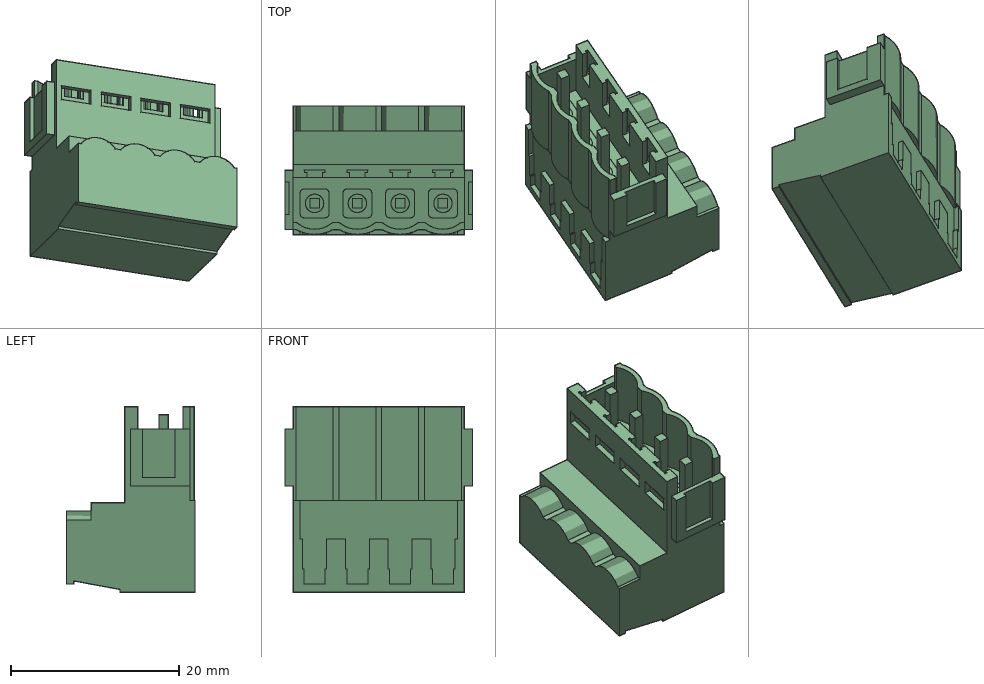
import cadquery as cq

POLES = 4
PITCH = 5.08
BODY_WIDTH = POLES * PITCH
OVERALL_WIDTH = 22.28
DEPTH = 15.3
HEIGHT = 22.05
HALF_WIDTH = BODY_WIDTH / 2
POLE_X = [(i - (POLES - 1) / 2) * PITCH for i in range(POLES)]

TOWER_REAR_Y = 8.38
TOWER_FOOT_Z = 10.65
SHOULDER_Y = 12.35
VALLEY_Z = 8.58
BASE_REAR_Y = 8.95
BASE_STEP = 0.33
RAMP_END_Y = 14.42
RAMP_END_Z = 1.34
REAR_LIP_Z = 0.98

ARC_CHORD = 4.4
RIDGE_RISE = 1.1
RIDGE_ROOT_Z = VALLEY_Z / 2

SCALLOP_FOOT_Z = 10.92
SCALLOP_FLAT_Y = 0.62
SCALLOP_RISE = 0.55
INNER_FLAT_Y = 1.47
INNER_CHORD = 4.28
INNER_RISE = 0.8
REAR_WALL_Y = 6.8
FLOOR_Z = 13.65

PLATE_THICKNESS = (OVERALL_WIDTH - BODY_WIDTH) / 2
PLATE_REAR_Y = 7.69
PLATE_BOTTOM_Z = 12.6
PLATE_TOP_Z = 19.4
PLATE_POCKET_FRONT_Y = 2.4
PLATE_POCKET_REAR_Y = 6.25
PLATE_POCKET_DEPTH = 0.5

SLOT_NECK_WIDTH = 1.83
SLOT_WIDTH = 2.43
SLOT_SHELF_Y = 7.42
SLOT_BACK_Y = 7.69
SLOT_FLOOR_Z = 17.82
WINDOW_WIDTH = 3.79
WINDOW_BOTTOM_Z = 17.02
WINDOW_TOP_Z = 18.8

RECESS_DEPTH = 0.6
RECESS_WIDTH = 18.7
RIB_WIDTH = 2.25
RECESS_UPPER_Z = 6.35
RECESS_LOWER_Z = 2.76
RECESS_FLOOR_Z = 0.98
UPPER_POCKET_WIDTH = PITCH - RIB_WIDTH
LOWER_POCKET_WIDTH = 2.5

CONTACT_Y = 3.75
PIN_SIDE = 1.11
PIN_TOP_Z = 21.1
ROOT_DIAMETER = 2.18
INSERT_SIDE = 3.43
INSERT_RADIUS = 0.5
INSERT_DEPTH = 2.0


def block(x_min, x_max, y_min, y_max, z_min, z_max):
    """Axis-aligned box between the given limits."""
    size = (x_max - x_min, y_max - y_min, z_max - z_min)
    return cq.Workplane("XY").box(*size, centered=False).translate((x_min, y_min, z_min))


def centred_block(x, width, y_min, y_max, z_min, z_max):
    """Box of a given width centred on x."""
    return block(x - width / 2, x + width / 2, y_min, y_max, z_min, z_max)


def scallop_outline(plane, base, flat, chord, rise):
    """Closed outline with one arc per pole, from a straight side at base to flats between the arcs."""
    outline = cq.Workplane(plane).moveTo(-HALF_WIDTH, base).lineTo(-HALF_WIDTH, flat)
    for x in POLE_X:
        outline = outline.lineTo(x - chord / 2, flat)
        outline = outline.threePointArc((x, flat + rise), (x + chord / 2, flat))
    return outline.lineTo(HALF_WIDTH, flat).lineTo(HALF_WIDTH, base).close()


def make_body_block():
    """Side profile extruded across all poles."""
    profile = [
        (0, 0),
        (BASE_REAR_Y, 0),
        (BASE_REAR_Y, BASE_STEP),
        (RAMP_END_Y, RAMP_END_Z),
        (RAMP_END_Y, REAR_LIP_Z),
        (DEPTH, REAR_LIP_Z),
        (DEPTH, VALLEY_Z),
        (SHOULDER_Y, VALLEY_Z),
        (SHOULDER_Y, TOWER_FOOT_Z),
        (TOWER_REAR_Y, TOWER_FOOT_Z),
        (TOWER_REAR_Y, SCALLOP_FOOT_Z),
        (0, SCALLOP_FOOT_Z),
    ]
    return cq.Workplane("YZ").polyline(profile).close().extrude(HALF_WIDTH, both=True)


def make_rear_ridges():
    """Row of rounded ridges along the rear ledge, rooted inside the body block."""
    outline = scallop_outline("XZ", RIDGE_ROOT_Z, VALLEY_Z, ARC_CHORD, RIDGE_RISE)
    return outline.extrude(SHOULDER_Y - DEPTH).translate((0, SHOULDER_Y, 0))


def make_tower():
    """Upper block with a scalloped front face."""
    outline = scallop_outline("XY", TOWER_REAR_Y, SCALLOP_FLAT_Y, ARC_CHORD, -SCALLOP_RISE)
    return outline.extrude(HEIGHT - SCALLOP_FOOT_Z).translate((0, 0, SCALLOP_FOOT_Z))


def make_cavity():
    """Mating cavity that runs the full width and follows the scalloped front wall."""
    outline = scallop_outline("XY", REAR_WALL_Y, INNER_FLAT_Y, INNER_CHORD, -INNER_RISE)
    return outline.extrude(HEIGHT - FLOOR_Z).translate((0, 0, FLOOR_Z))


def make_end_plate(side):
    """End plate on one side (-1 or 1), with a pocket open at the top of its outer face."""
    outer_x = side * OVERALL_WIDTH / 2
    inner_x = outer_x - side * PLATE_THICKNESS
    pocket_x = outer_x - side * PLATE_POCKET_DEPTH
    plate = block(
        min(outer_x, inner_x), max(outer_x, inner_x),
        SCALLOP_FLAT_Y, PLATE_REAR_Y, PLATE_BOTTOM_Z, PLATE_TOP_Z,
    )
    pocket = block(
        min(outer_x, pocket_x), max(outer_x, pocket_x),
        PLATE_POCKET_FRONT_Y, PLATE_POCKET_REAR_Y, FLOOR_Z, PLATE_TOP_Z,
    )
    return plate.cut(pocket)


def make_keying_slot(x):
    """T-shaped slot down the rear wall, meeting a wider window in the rear face."""
    neck = centred_block(x, SLOT_NECK_WIDTH, REAR_WALL_Y, SLOT_BACK_Y, SLOT_FLOOR_Z, HEIGHT)
    head = centred_block(x, SLOT_WIDTH, SLOT_SHELF_Y, SLOT_BACK_Y, SLOT_FLOOR_Z, HEIGHT)
    window = centred_block(
        x, WINDOW_WIDTH, SLOT_BACK_Y, TOWER_REAR_Y, WINDOW_BOTTOM_Z, WINDOW_TOP_Z
    )
    return neck.union(head).union(window)


def make_front_recess():
    """Shallow recess below the scallops with one stepped leg per pole, separated by ribs."""
    recess = centred_block(0, RECESS_WIDTH, 0, RECESS_DEPTH, RECESS_UPPER_Z, SCALLOP_FOOT_Z)
    for x in POLE_X:
        upper = centred_block(x, UPPER_POCKET_WIDTH, 0, RECESS_DEPTH, RECESS_LOWER_Z, RECESS_UPPER_Z)
        lower = centred_block(x, LOWER_POCKET_WIDTH, 0, RECESS_DEPTH, RECESS_FLOOR_Z, RECESS_LOWER_Z)
        recess = recess.union(upper).union(lower)
    return recess


def make_insert_blank(x):
    """Rounded square block whose top is flush with the cavity floor."""
    blank = cq.Workplane("XY").rect(INSERT_SIDE, INSERT_SIDE).extrude(INSERT_DEPTH)
    blank = blank.edges("|Z").fillet(INSERT_RADIUS)
    return blank.translate((x, CONTACT_Y, FLOOR_Z - INSERT_DEPTH))


def make_pin(x):
    """Square pin standing on a round root."""
    root = cq.Workplane("XY").circle(ROOT_DIAMETER / 2).extrude(INSERT_DEPTH)
    blade = root.faces(">Z").workplane().rect(PIN_SIDE, PIN_SIDE).extrude(PIN_TOP_Z - FLOOR_Z)
    return blade.translate((x, CONTACT_Y, FLOOR_Z - INSERT_DEPTH))


def make_insert(x):
    """Contact insert with a hole that the pin root fills."""
    return make_insert_blank(x).cut(make_pin(x))


def make_housing():
    """Connector housing with openings for the contacts."""
    housing = make_body_block().union(make_rear_ridges()).cut(make_front_recess())
    housing = housing.union(make_tower()).cut(make_cavity())
    for side in (-1, 1):
        housing = housing.union(make_end_plate(side))
    for x in POLE_X:
        housing = housing.cut(make_keying_slot(x)).cut(make_insert_blank(x))
    return housing


housing = make_housing().solids().val()
inserts = [make_insert(x).solids().val() for x in POLE_X]
pins = [make_pin(x).solids().val() for x in POLE_X]

result = cq.Compound.makeCompound([housing, *inserts, *pins])